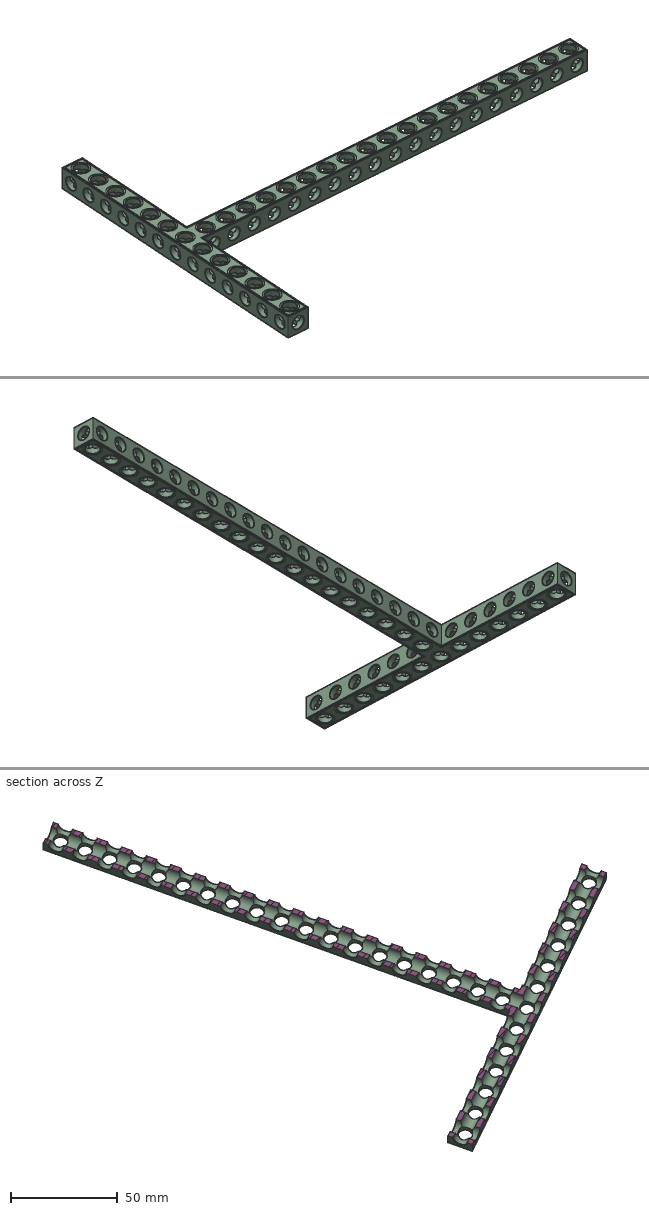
import cadquery as cq
pitch = 12.5
bar_holes = 13
stem_holes = 20
hole_diameter = 7.0
lip_width = 0.2
lip_depth = 0.2
ledge_diameter = 9.2
ledge_width = 1.0
ledge_depth = 0.12

bar_length = bar_holes * pitch
stem_length = stem_holes * pitch
half = pitch / 2
bar_end = bar_length / 2
stem_end = stem_length - half
lip_diameter = hole_diameter + 2 * lip_width

bar_positions = [(i - (bar_holes - 1) / 2) * pitch for i in range(bar_holes)]
stem_positions = [i * pitch for i in range(1, stem_holes)]


def tee(height, inset):
    """Solid T centred on the XY plane, its outline moved inwards by inset."""
    width = pitch - 2 * inset
    bar = cq.Workplane("XY").box(bar_length - 2 * inset, width, height)
    stem = (
        cq.Workplane("XY")
        .center(0, stem_length / 2 - half)
        .box(width, stem_length - 2 * inset, height)
    )
    return bar.union(stem).clean()


def cylinders(plane, centres, diameter, start, end):
    """Row of cylinders between two offsets along the plane's normal."""
    return (
        cq.Workplane(plane)
        .workplane(offset=start)
        .pushPoints(centres)
        .circle(diameter / 2)
        .extrude(end - start)
    )


def drill(part, plane, centres, start, end, mouths):
    """Cut through holes, with a counterbore at both ends for each (diameter, depth) in mouths."""
    part = part.cut(cylinders(plane, centres, hole_diameter, start, end))
    for diameter, depth in mouths:
        part = part.cut(cylinders(plane, centres, diameter, start, start + depth))
        part = part.cut(cylinders(plane, centres, diameter, end - depth, end))
    return part


lip = (lip_diameter, lip_depth)
ledge = (ledge_diameter, ledge_depth)

body = tee(pitch - 2 * lip_depth, 0)
body = body.union(tee(pitch - 2 * ledge_depth, lip_width))
body = body.union(tee(pitch, ledge_width))

vertical_centres = [(x, 0) for x in bar_positions] + [(0, y) for y in stem_positions]
body = drill(body, "XY", vertical_centres, -half, half, [lip, ledge])

bar_side_centres = [(x, 0) for x in bar_positions if x != 0]
body = drill(body, "XZ", bar_side_centres, -half, half, [lip])
body = drill(body, "XZ", [(0, 0)], -stem_end, half, [lip])

stem_side_centres = [(y, 0) for y in stem_positions]
body = drill(body, "YZ", stem_side_centres, -half, half, [lip])
body = drill(body, "YZ", [(0, 0)], -bar_end, bar_end, [lip])

result = body